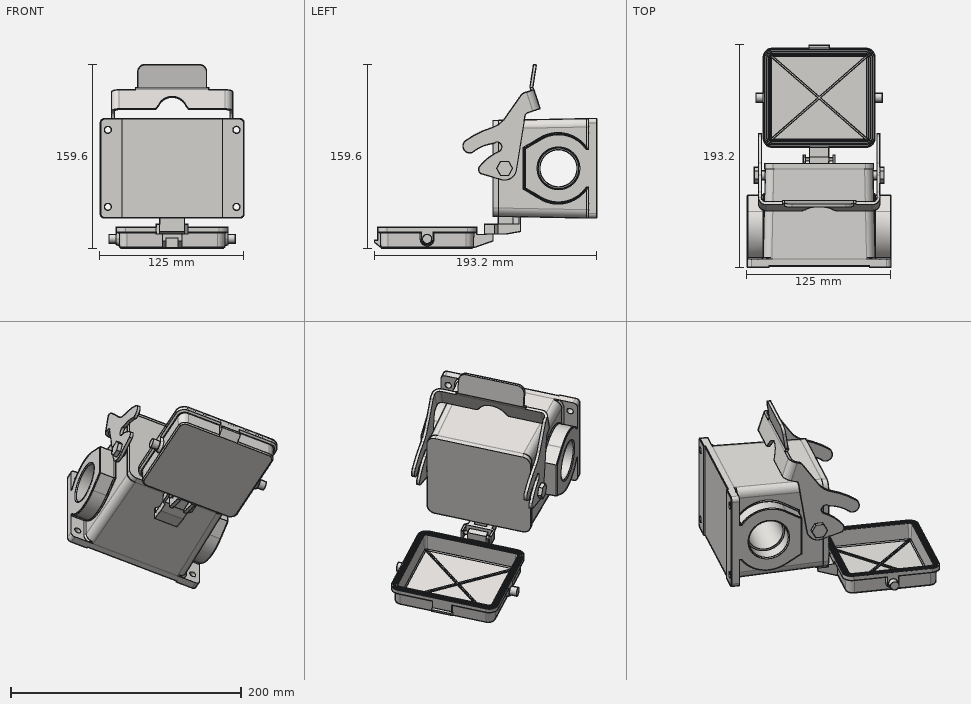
import cadquery as cq
import math

PLATE_WIDTH, PLATE_HEIGHT, PLATE_THICK = 125.0, 86.5, 7.3
PLATE_CORNER, PLATE_CHAMFER = 3.9, 0.5
HOLE_DIA, HOLE_X, HOLE_Z = 5.8, 55.8, 33.5
RECESS_WIDTH, RECESS_DEPTH = 87.0, 1.2
BASE_WIDTH, BASE_HEIGHT = 97.0, PLATE_HEIGHT
BODY_WIDTH, BODY_HEIGHT, BODY_CORNER = 93.5, 83.5, 7.3
SKIRT, SKIRT_CLEARANCE = 1.5, 0.2
FLANGE_WIDTH, FLANGE_HEIGHT = 94.7, 83.5
FLANGE_Y, HOUSING_TOP = 85.5, 90.5

ENTRY_Y = 33.5
ENTRY_RADIUS = 30.0
ENTRY_TOP_Y, ENTRY_TOP_HALF = 63.0, 17.4
ENTRY_CHAMFER = 0.8
ENTRY_ROOT, ENTRY_ROOT_CHAMFER, ENTRY_ROOT_X = 1.2, 1.0, 48.9
BORE_DIA, COUNTERBORE_DIA, COUNTERBORE_DEPTH = 32.0, 35.2, 14.5
BORE_CHAMFER = 1.0

SHEET = 2.7
LEVER_HALF = 52.7
PIVOT_Y, PIVOT_Z = 80.2, 0.0
HUB_RADIUS = 10.2
HUB_FRONT_DROP, HUB_HEEL_Y, HUB_HEEL_RISE = 1.5, 2.7, 0.4
BEND_RADIUS = 6.8
STRIP_Y, STRIP_Z = 49.3, 51.8
STRIP_TILT = 18.0
STRIP_LENGTH = 17.4
CUTOUT_TOP, CUTOUT_HALF = 11.2, 14.5
CUTOUT_CORNER_X, CUTOUT_CORNER_H = 12.0, 3.0
TAB_WIDTH, TAB_CORNER = 59.9, 6.5
TAB_LEAN = 9.0
TAB_ROOT_Y, TAB_ROOT_Z, TAB_TOP = 55.6, 70.0, 90.2
NECK_WIDTH = 63.8
BOLT_DIA, HEAD_CORNERS, HEAD_HEIGHT = 8.0, 14.0, 3.7

COVER_Y, RIM_WIDTH, RIM_LENGTH, RIM_CORNER = 147.5, 97.2, 86.2, 8.1
RIM_TOP, RIM_BOTTOM, COVER_BOTTOM = -51.0, -55.0, -69.4
TRAY_WIDTH, TRAY_LENGTH, TRAY_CORNER = 92.0, 81.1, 6.8
TRAY_TAPER = 1.5
TRAY_CHAMFER = 1.2
CAVITY_INSET, CAVITY_FLOOR, CAVITY_CORNER = 5.6, -67.0, 2.7
CAVITY_TAPER, CAVITY_CHAMFER = 3.0, 1.0
GROOVE_INSETS, GROOVE_WIDTH, GROOVE_DEPTH = (1.2, 3.5), 1.2, 1.0
RIM_BEVEL, RIM_BEVEL_TAPER = 1.2, 60.0
RIB_WIDTH, RIB_HEIGHT = 1.5, 1.2
PIN_DIA, PIN_END, PIN_Z = 8.0, 54.9, -61.2
PIN_PAD_RADIUS, PIN_PAD_TAPER = 5.0, 20.0
TONGUE_WIDTH, TONGUE_END, TONGUE_TOP, TONGUE_LOW = 17.8, 193.2, -62.2, -64.1

ARM_WIDTH, ARM_END, ARM_GAP = 17.0, 90.0, 0.4
ARM_TIP_LOW, ARM_BEND_Y, ARM_BOTTOM = -63.0, 105.9, -68.5
ARM_SLOT_WIDTH, ARM_SLOT_TOP = 10.5, -60.3
BRACKET_FRONT, BRACKET_BACK = 66.3, 97.8
BRACKET_HALF, CHEEK_HALF, CHEEK_THICK = 10.8, 14.0, 2.0
CHEEK_START = 85.8
CHEEK_FLARE_END = CHEEK_START + CHEEK_HALF - BRACKET_HALF
POST_HALF, POST_LIP, POST_NECK_START = 5.5, 1.4, 72.8
SHELF_TOP, SHELF_BOTTOM = -48.5, -57.0
SHELF_FRONT_LOW, SHELF_BEND_Y = -54.9, 78.3
HINGE_PIN_DIA, HINGE_PIN_Y, HINGE_PIN_Z = 3.0, 93.9, -53.0
KNUCKLE_RADIUS = 2.3

OVERLAP = 2.0


def rounded_block(width, height, corner, y_start, y_end):
    """Block along +Y with rounded corners in the XZ plane."""
    plane = cq.Workplane("XZ", origin=(0, y_end, 0))
    return plane.rect(width, height).extrude(y_end - y_start).edges("|Y").fillet(corner)


def side_profile(points, half_width):
    """Closed polygon of (Y, Z) points, extruded symmetrically about X = 0."""
    return cq.Workplane("YZ").polyline(points).close().extrude(half_width, both=True)


def x_cylinder(diameter, x_start, x_end, y, z):
    """Cylinder parallel to X."""
    plane = cq.Workplane("YZ", origin=(x_start, y, z))
    return plane.circle(diameter / 2).extrude(x_end - x_start)


def both_sides(shape):
    """The shape together with its mirror image about X = 0."""
    return shape.union(shape.mirror("YZ"))


def tray_block(width, length, corner, z_top, z_bottom, taper=0.0):
    """Rounded block of the cover, going down from z_top and narrowing by the taper angle."""
    sketch = cq.Sketch().rect(width, length).vertices().fillet(corner)
    plane = cq.Workplane("XY", origin=(0, COVER_Y, z_top))
    return plane.placeSketch(sketch).extrude(z_bottom - z_top, taper=taper)


def entry_block(outer_x, grow):
    """Block from X = -outer_x to the centre: a circle blended by tangents into a flat top edge."""
    radius = ENTRY_RADIUS + grow
    flat_y = ENTRY_TOP_Y + grow - ENTRY_Y
    flat_half = ENTRY_TOP_HALF + grow / 2
    reach = math.hypot(flat_y, flat_half)
    tangent = math.atan2(flat_half, flat_y) + math.acos(radius / reach)
    tangent_y = ENTRY_Y + radius * math.cos(tangent)
    tangent_z = radius * math.sin(tangent)
    foot_y = PLATE_THICK + SKIRT
    foot_z = math.sqrt(radius**2 - (ENTRY_Y - foot_y) ** 2)
    outline = (
        cq.Workplane("YZ", origin=(-outer_x, 0, 0))
        .moveTo(0, foot_z)
        .lineTo(foot_y, foot_z)
        .threePointArc((ENTRY_Y, radius), (tangent_y, tangent_z))
        .lineTo(ENTRY_Y + flat_y, flat_half)
        .lineTo(ENTRY_Y + flat_y, -flat_half)
        .lineTo(tangent_y, -tangent_z)
        .threePointArc((ENTRY_Y, -radius), (foot_y, -foot_z))
        .lineTo(0, -foot_z)
        .close()
    )
    return outline.extrude(outer_x)


def cable_entry():
    """Entry boss on the -X side with a bevelled rim and a bevelled root on the body wall."""
    boss = entry_block(PLATE_WIDTH / 2, 0)
    boss = boss.faces("<X").edges("not <Y").chamfer(ENTRY_CHAMFER)
    root = entry_block(ENTRY_ROOT_X, ENTRY_ROOT)
    root = root.faces("<X").edges("not <Y").chamfer(ENTRY_ROOT_CHAMFER)
    return boss.union(root)


def entry_bore():
    """Stepped bore from the -X side to the middle of the housing."""
    outer = -PLATE_WIDTH / 2
    bore = x_cylinder(BORE_DIA, outer, 0, ENTRY_Y, 0)
    counterbore = x_cylinder(COUNTERBORE_DIA, outer, outer + COUNTERBORE_DEPTH, ENTRY_Y, 0)
    mouth = cq.Workplane("YZ", origin=(outer, ENTRY_Y, 0)).circle(COUNTERBORE_DIA / 2 + BORE_CHAMFER)
    return bore.union(counterbore).union(mouth.extrude(BORE_CHAMFER, taper=45))


def housing_body():
    """Body narrowing slightly from the plate to the flange, with a bevelled skirt at the plate."""
    base = cq.Sketch().rect(BASE_WIDTH, BASE_HEIGHT).vertices().fillet(BODY_CORNER)
    top = cq.Sketch().rect(BODY_WIDTH, BODY_HEIGHT).vertices().fillet(BODY_CORNER)
    height = FLANGE_Y - PLATE_THICK
    plane = cq.Workplane("XZ", origin=(0, PLATE_THICK, 0))
    body = plane.placeSketch(base, top.moved(cq.Location(cq.Vector(0, 0, -height)))).loft()
    skirt = cq.Workplane("XZ", origin=(0, PLATE_THICK + SKIRT, 0)).placeSketch(base)
    skirt = skirt.extrude(SKIRT, taper=-45)
    skirt_limit = cq.Workplane("XY").box(PLATE_WIDTH, PLATE_WIDTH, PLATE_HEIGHT - SKIRT_CLEARANCE)
    return body.union(skirt.intersect(skirt_limit))


def housing():
    """Plate, body, flange and cable entries, with the bores and mounting holes."""
    plate = rounded_block(PLATE_WIDTH, PLATE_HEIGHT, PLATE_CORNER, 0, PLATE_THICK)
    flange = rounded_block(FLANGE_WIDTH, FLANGE_HEIGHT, BODY_CORNER, FLANGE_Y, HOUSING_TOP)
    recess = cq.Workplane("XY").box(RECESS_WIDTH, 2 * RECESS_DEPTH, 2 * PLATE_HEIGHT)
    holes = (
        cq.Workplane("XZ", origin=(0, PLATE_THICK, 0))
        .rect(2 * HOLE_X, 2 * HOLE_Z, forConstruction=True)
        .vertices()
        .circle(HOLE_DIA / 2)
        .extrude(PLATE_THICK)
    )
    solid = plate.union(housing_body()).union(flange).union(both_sides(cable_entry()))
    solid = solid.faces("<Y").edges().chamfer(PLATE_CHAMFER)
    solid = solid.cut(recess)
    recess_floor = cq.selectors.NearestToPointSelector((0, RECESS_DEPTH, 0))
    solid = solid.faces(recess_floor).edges("|X").chamfer(PLATE_CHAMFER)
    return solid.cut(both_sides(entry_bore())).cut(holes)


def lever_leg():
    """Flat side arm of the lever on the -X side, with its hooked nose and catch slot."""
    hub_front = (PIVOT_Y - HUB_RADIUS, PIVOT_Z - HUB_FRONT_DROP)
    hub_low = (PIVOT_Y - HUB_RADIUS / math.sqrt(2), PIVOT_Z - HUB_RADIUS / math.sqrt(2))
    hub_heel = (PIVOT_Y + HUB_HEEL_Y, PIVOT_Z - HUB_RADIUS + HUB_HEEL_RISE)
    tilt = math.radians(STRIP_TILT)
    low_bend = (STRIP_Y + BEND_RADIUS * math.cos(tilt), STRIP_Z - BEND_RADIUS * math.sin(tilt))
    high_bend = (
        low_bend[0] + STRIP_LENGTH * math.sin(tilt),
        low_bend[1] + STRIP_LENGTH * math.cos(tilt),
    )
    outline = (
        cq.Workplane("YZ", origin=(-LEVER_HALF, 0, 0))
        .moveTo(*hub_front)
        .lineTo(62.5, 45.6)
        .threePointArc((61.6, 47.1), (60.3, 48.1))
        .lineTo(*low_bend)
        .lineTo(*high_bend)
        .threePointArc((63.5, 65.5), (65.5, 64.1))
        .lineTo(80.5, 42.7)
        .threePointArc((85.0, 38.5), (90.6, 35.5))
        .threePointArc((103.0, 30.7), (114.4, 23.8))
        .threePointArc((115.5, 16.2), (108.2, 13.7))
        .threePointArc((99.7, 19.0), (90.2, 21.5))
        .lineTo(87.3, 22.8)
        .threePointArc((82.7, 19.5), (85.0, 14.7))
        .threePointArc((93.7, 9.7), (102.0, 1.5))
        .threePointArc((102.8, -1.5), (100.9, -4.6))
        .lineTo(*hub_heel)
        .threePointArc(hub_low, hub_front)
        .close()
    )
    return outline.extrude(SHEET)


def lever_strip():
    """Cross strip joining the legs, with both bends and the round cutout in its lower edge."""
    tilt = math.radians(STRIP_TILT)
    along = (0, math.sin(tilt), math.cos(tilt))
    inward = (0, math.cos(tilt), -math.sin(tilt))
    corner = (0, STRIP_Y, STRIP_Z)
    section_plane = cq.Plane(origin=corner, xDir=(1, 0, 0), normal=along)
    face_plane = cq.Plane(origin=corner, xDir=(-1, 0, 0), normal=inward)

    def bent_block(half, radius):
        """Block ending at the bend lines, its two front edges rounded to the radius."""
        front = BEND_RADIUS - radius
        turn = radius * (1 - math.sqrt(0.5))
        section = (
            cq.Workplane(section_plane)
            .moveTo(-half, BEND_RADIUS)
            .threePointArc((-half + turn, front + turn), (-half + radius, front))
            .lineTo(half - radius, front)
            .threePointArc((half - turn, front + turn), (half, BEND_RADIUS))
            .close()
        )
        return section.extrude(STRIP_LENGTH)

    strip = bent_block(LEVER_HALF, BEND_RADIUS)
    strip = strip.cut(bent_block(LEVER_HALF - SHEET, BEND_RADIUS - SHEET))
    cutout = (
        cq.Workplane(face_plane)
        .moveTo(-CUTOUT_HALF, 0)
        .lineTo(-CUTOUT_CORNER_X, CUTOUT_CORNER_H)
        .threePointArc((0, CUTOUT_TOP), (CUTOUT_CORNER_X, CUTOUT_CORNER_H))
        .lineTo(CUTOUT_HALF, 0)
        .close()
        .extrude(SHEET)
    )
    return strip.cut(cutout)


def lever_tab():
    """Finger tab leaning back above the strip, on a short neck that continues the strip edge."""
    tilt = math.radians(STRIP_TILT)
    lean = math.radians(TAB_LEAN)
    outer_y = STRIP_Y + STRIP_LENGTH * math.sin(tilt)
    outer_z = STRIP_Z + STRIP_LENGTH * math.cos(tilt)
    strip_inner = (outer_y + SHEET * math.cos(tilt), outer_z - SHEET * math.sin(tilt))
    tab_inner = (TAB_ROOT_Y + SHEET * math.cos(lean), TAB_ROOT_Z + SHEET * math.sin(lean))
    neck_points = [(outer_y, outer_z), strip_inner, tab_inner, (TAB_ROOT_Y, TAB_ROOT_Z)]
    neck = side_profile(neck_points, NECK_WIDTH / 2)

    length = (TAB_TOP - tab_inner[1]) / math.cos(lean)
    plane = cq.Plane(
        origin=(0, TAB_ROOT_Y, TAB_ROOT_Z),
        xDir=(-1, 0, 0),
        normal=(0, math.cos(lean), math.sin(lean)),
    )
    tab = cq.Workplane(plane).center(0, length / 2).rect(TAB_WIDTH, length).extrude(SHEET)
    across = cq.Vector(0, math.cos(lean), math.sin(lean))
    top_corners = cq.selectors.ParallelDirSelector(across)
    tab = tab.edges(top_corners).edges(">Z").fillet(TAB_CORNER)
    return neck.union(tab)


def pivot_bolt():
    """Bolt on the -X side, from the body wall out to its hexagon head."""
    shank = x_cylinder(BOLT_DIA, -LEVER_HALF, -BODY_WIDTH / 2 + OVERLAP, PIVOT_Y, PIVOT_Z)
    head_plane = cq.Workplane("YZ", origin=(-LEVER_HALF, PIVOT_Y, PIVOT_Z))
    head = head_plane.polygon(6, HEAD_CORNERS).extrude(-HEAD_HEIGHT)
    return shank.union(head)


def cover_pin():
    """Locking pin on the -X side of the cover, on a U-shaped pad that hangs from the rim."""
    pad_plane = cq.Workplane("YZ", origin=(-RIM_WIDTH / 2, COVER_Y, PIN_Z))
    pad_depth = (RIM_WIDTH - TRAY_WIDTH) / 2 + OVERLAP
    pad_height = RIM_BOTTOM - PIN_Z
    pad = pad_plane.circle(PIN_PAD_RADIUS).extrude(pad_depth, taper=-PIN_PAD_TAPER)
    pad_neck = pad_plane.center(0, pad_height / 2).rect(2 * PIN_PAD_RADIUS, pad_height)
    pad = pad.union(pad_neck.extrude(pad_depth, taper=-PIN_PAD_TAPER))
    pin = x_cylinder(PIN_DIA, -PIN_END, -TRAY_WIDTH / 2 + OVERLAP, COVER_Y, PIN_Z)
    return pad.union(pin)


def cover_tongue():
    """Lifting tongue at the free end of the cover."""
    tray_end = COVER_Y + TRAY_LENGTH / 2 - OVERLAP
    rim_end = COVER_Y + RIM_LENGTH / 2
    tongue_points = [
        (tray_end, RIM_BOTTOM),
        (rim_end, RIM_BOTTOM),
        (rim_end, TONGUE_TOP),
        (TONGUE_END, TONGUE_TOP),
        (TONGUE_END, TONGUE_LOW),
        (COVER_Y + TRAY_LENGTH / 2 - TRAY_CHAMFER, COVER_BOTTOM),
        (tray_end, COVER_BOTTOM),
    ]
    return side_profile(tongue_points, TONGUE_WIDTH / 2)


def cover():
    """Cover with its gasket grooves, ribbed cavity, pins, tongue and hinge arm."""
    rim = tray_block(RIM_WIDTH, RIM_LENGTH, RIM_CORNER, RIM_TOP, RIM_BOTTOM)
    tray = tray_block(TRAY_WIDTH, TRAY_LENGTH, TRAY_CORNER, RIM_BOTTOM, COVER_BOTTOM, TRAY_TAPER)
    tray = tray.faces("<Z").edges().chamfer(TRAY_CHAMFER)

    def inset_block(inset, corner, depth, taper=0.0):
        return tray_block(
            RIM_WIDTH - 2 * inset, RIM_LENGTH - 2 * inset, corner, RIM_TOP, RIM_TOP - depth, taper
        )

    def gasket_groove(inset):
        inner = inset + GROOVE_WIDTH
        outer_block = inset_block(inset, RIM_CORNER - inset, GROOVE_DEPTH)
        return outer_block.cut(inset_block(inner, RIM_CORNER - inner, GROOVE_DEPTH))

    cavity = inset_block(CAVITY_INSET, CAVITY_CORNER, RIM_TOP - CAVITY_FLOOR, CAVITY_TAPER)
    cavity = cavity.faces("<Z").edges().chamfer(CAVITY_CHAMFER)

    inner_width = RIM_WIDTH - 2 * CAVITY_INSET
    inner_length = RIM_LENGTH - 2 * CAVITY_INSET
    diagonal = math.hypot(inner_width, inner_length)
    rib_angle = math.degrees(math.atan2(inner_length, inner_width))
    bevel_bottom = RIM_BOTTOM - RIM_BEVEL
    bevel = tray_block(RIM_WIDTH, RIM_LENGTH, RIM_CORNER, RIM_BOTTOM, bevel_bottom, RIM_BEVEL_TAPER)
    shell = rim.union(tray).union(bevel)
    for angle in (rib_angle, -rib_angle):
        rib = cq.Workplane("XY").box(diagonal, RIB_WIDTH, RIB_HEIGHT, centered=(True, True, False))
        rib = rib.rotate((0, 0, 0), (0, 0, 1), angle).translate((0, COVER_Y, CAVITY_FLOOR))
        cavity = cavity.cut(rib)

    solid = shell.union(both_sides(cover_pin())).union(cover_tongue()).union(hinge_arm())
    solid = solid.cut(cavity)
    for inset in GROOVE_INSETS:
        solid = solid.cut(gasket_groove(inset))
    return solid


def hinge_arm():
    """Arm of the cover reaching under the housing, with a knuckle around the hinge pin."""
    tray_front = COVER_Y - TRAY_LENGTH / 2
    arm_root = tray_front + OVERLAP
    rim_front = COVER_Y - RIM_LENGTH / 2
    arm_top = SHELF_BOTTOM - ARM_GAP
    knuckle_back = HINGE_PIN_Y + KNUCKLE_RADIUS
    knuckle_top = HINGE_PIN_Z + KNUCKLE_RADIUS
    arm_points = [
        (arm_root, RIM_BOTTOM),
        (rim_front, RIM_BOTTOM),
        (rim_front, arm_top),
        (knuckle_back, arm_top),
        (knuckle_back, knuckle_top),
        (ARM_END, knuckle_top),
        (ARM_END, ARM_TIP_LOW),
        (ARM_BEND_Y, ARM_BOTTOM),
        (arm_root, ARM_BOTTOM),
    ]
    arm = side_profile(arm_points, ARM_WIDTH / 2)
    slot_points = [
        (ARM_END, ARM_SLOT_TOP),
        (tray_front, ARM_SLOT_TOP),
        (tray_front, COVER_BOTTOM),
        (ARM_END, COVER_BOTTOM),
    ]
    return arm.cut(side_profile(slot_points, ARM_SLOT_WIDTH / 2))


def hinge_bracket():
    """Bracket below the housing: a post, a shelf that widens into two cheeks, and the pin."""
    post_top = -BODY_HEIGHT / 2 + OVERLAP
    post_plan = [
        (0, BRACKET_FRONT),
        (BRACKET_HALF, BRACKET_FRONT),
        (BRACKET_HALF, BRACKET_FRONT + POST_LIP),
        (POST_HALF, POST_NECK_START),
        (POST_HALF, CHEEK_START),
        (0, CHEEK_START),
    ]
    post = cq.Workplane("XY", origin=(0, 0, post_top)).polyline(post_plan).mirrorY()
    post = post.extrude(SHELF_TOP - post_top)
    shelf_points = [
        (BRACKET_FRONT, SHELF_TOP),
        (BRACKET_BACK, SHELF_TOP),
        (BRACKET_BACK, SHELF_BOTTOM),
        (SHELF_BEND_Y, SHELF_BOTTOM),
        (BRACKET_FRONT, SHELF_FRONT_LOW),
    ]
    half_plan = [
        (0, BRACKET_FRONT),
        (BRACKET_HALF, BRACKET_FRONT),
        (BRACKET_HALF, CHEEK_START),
        (CHEEK_HALF, CHEEK_FLARE_END),
        (CHEEK_HALF, BRACKET_BACK),
        (0, BRACKET_BACK),
    ]
    plan = cq.Workplane("XY").polyline(half_plan).mirrorY().extrude(2 * SHELF_BOTTOM)
    gap_half = CHEEK_HALF - CHEEK_THICK
    gap_depth = BRACKET_BACK - CHEEK_FLARE_END
    gap = cq.Workplane("XY").center(0, BRACKET_BACK).rect(2 * gap_half, 2 * gap_depth)
    gap = gap.extrude(2 * SHELF_BOTTOM)
    shelf = side_profile(shelf_points, CHEEK_HALF).intersect(plan).cut(gap)
    pin = x_cylinder(HINGE_PIN_DIA, -CHEEK_HALF, CHEEK_HALF, HINGE_PIN_Y, HINGE_PIN_Z)
    return post.union(shelf).union(pin)


lever = both_sides(lever_leg().union(pivot_bolt())).union(lever_strip()).union(lever_tab())
result = housing().union(lever).union(hinge_bracket()).union(cover())